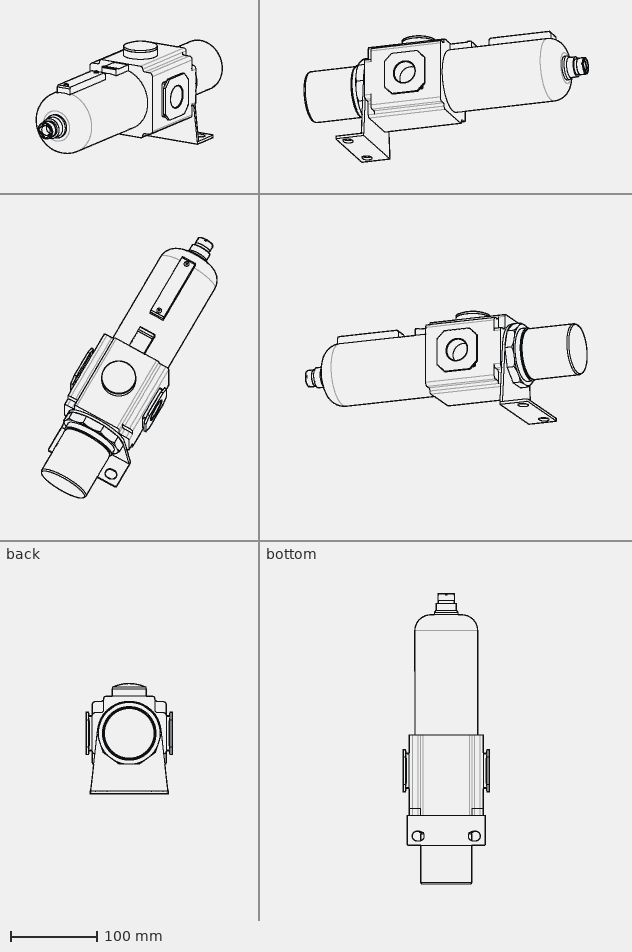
import cadquery as cq
import math


OVERALL_LENGTH = 336.5
OVERALL_HEIGHT = 128.0

BODY_HALF = 43.0
BODY_FRONT_Y = -41.7
BODY_BACK_Y = 51.7
STEP_WIDTH = 13.3
STEP_FILLET = 3.0
SHELF_Z = BODY_HALF - 2 * STEP_FILLET
CORNER_RADIUS = 4.0

NOTCH_DEPTH = 8.0
NOTCH_SHELF_Z = 24.0

BRACKET_THICKNESS = 3.2
BRACKET_BACK_Y = BODY_BACK_Y + BRACKET_THICKNESS
BRACKET_RADIUS = 37.0
FOOT_BOTTOM_Z = -70.2
FOOT_END_Y = 86.4
FOOT_HALF_WIDTH = 45.2
FOOT_CORNER_RADIUS = 1.5
SLOT_WIDTH = 11.0
SLOT_LENGTH = 13.8
SLOT_OUTER_X = 39.3
SLOT_Y = 75.6

KNOB_RADIUS = 29.8
KNOB_END_Y = 131.1
KNOB_CHAMFER = 2.0
GROOVE_DEPTH = 0.8
GROOVE_WIDTH = 1.6
GROOVE_BACK_Y = 73.0
COLLAR_RADIUS = 31.0
NUT_SIDES = 10
NUT_CORNER_RADIUS = 37.4
NUT_BACK_Y = 65.0
NUT_CHAMFER = 1.6

BOWL_RADIUS = 36.5
DOME_START_Y = -162.2
DOME_RADIUS = 18.5
DOME_END_Y = DOME_START_Y - DOME_RADIUS
DRAIN_END_Y = KNOB_END_Y - OVERALL_LENGTH
DRAIN_FLANGE_RADIUS = 13.8
DRAIN_FLANGE_END_Y = -183.4
DRAIN_BODY_RADIUS = 11.8
DRAIN_BODY_START_Y = -185.8
DRAIN_BODY_END_Y = -193.8
DRAIN_NECK_RADIUS = 9.3
DRAIN_TIP_RADIUS = 9.8
DRAIN_TIP_START_Y = -197.3
DRAIN_TIP_CHAMFER = 0.8
DRAIN_BORE_RADIUS = 5.8
DRAIN_BORE_DEPTH = 12.0
DRAIN_SQUARE_WIDTH = 14.0
DRAIN_SQUARE_DEPTH = 2.0

TAB_WIDTH = 19.6
TAB_TOP_Z = 42.2
TAB_END_Y = -68.0
TAB_LIP_LENGTH = 6.0
TAB_LIP_SLOPE = 2.0
TAB_LIP_CHAMFER = 0.7
TAB_LIP_HEIGHT = 0.9
COVER_WIDTH = 17.3
COVER_TOP_Z = 44.2
COVER_BACK_Y = -89.2
COVER_FRONT_Y = -165.6
COVER_END_CHAMFER = 1.9
SCREW_INSET = 6.0
SCREW_RADIUS = 2.8
SCREW_HEIGHT = 2.0
SCREW_SOCKET_RADIUS = 0.8
SCREW_SOCKET_DEPTH = 1.0

GAUGE_RADIUS = 19.8
GAUGE_RIM_Z = 51.2
GAUGE_BAND_TOP_Z = 53.5
GAUGE_BAND_INSET = 0.3
GAUGE_TOP_Z = FOOT_BOTTOM_Z + OVERALL_HEIGHT

PORT_FACE_X = 50.0
PORT_HALF = 24.5
PORT_CHAMFER = 8.8
PORT_RIM = 2.8
PORT_TAPER = 0.9
NECK_HALF = 20.7
NECK_CHAMFER = 1.4
PORT_BORE_RADIUS = 12.7
PORT_BORE_CHAMFER = 0.8
PORT_BORE_DEPTH = 20.0


def box(x_range, y_range, z_range):
    """Box between two limits on each axis."""
    sizes = [high - low for low, high in (x_range, y_range, z_range)]
    corner = (x_range[0], y_range[0], z_range[0])
    return cq.Workplane("XY").box(*sizes, centered=False).translate(corner)


def slab(profile, y_start, y_end):
    """Extrude a wire drawn as (X, Z) from y_start to y_end."""
    return profile.extrude(y_start - y_end).translate((0, y_start, 0))


def four_corners(shape):
    """The shape and its mirror images about the YZ and XY planes."""
    pair = shape.union(shape.mirror("YZ"))
    return pair.union(pair.mirror("XY"))


def make_corner_step(shelf_z, y_start, y_end):
    """Material cut from one corner of the block, as a bar along Y down to a shelf."""
    wall_x = BODY_HALF - STEP_WIDTH
    convex_x = wall_x - STEP_FILLET
    convex_z = BODY_HALF - STEP_FILLET
    concave_x = wall_x + STEP_FILLET
    concave_z = shelf_z + STEP_FILLET
    corner_x = BODY_HALF - CORNER_RADIUS
    corner_z = shelf_z - CORNER_RADIUS
    step_45 = STEP_FILLET * math.sqrt(0.5)
    corner_45 = CORNER_RADIUS * math.sqrt(0.5)
    outside = BODY_HALF + 1.0
    profile = (
        cq.Workplane("XZ")
        .moveTo(convex_x, BODY_HALF)
        .threePointArc((convex_x + step_45, convex_z + step_45), (wall_x, convex_z))
    )
    if concave_z < convex_z:
        profile = profile.lineTo(wall_x, concave_z)
    profile = (
        profile.threePointArc((concave_x - step_45, concave_z - step_45), (concave_x, shelf_z))
        .lineTo(corner_x, shelf_z)
        .threePointArc((corner_x + corner_45, corner_z + corner_45), (BODY_HALF, corner_z))
        .lineTo(outside, corner_z)
        .lineTo(outside, outside)
        .lineTo(convex_x, outside)
        .close()
    )
    return slab(profile, y_start, y_end)


def make_body():
    span = (-BODY_HALF, BODY_HALF)
    block = box(span, (BODY_FRONT_Y, BODY_BACK_Y), span)
    step = make_corner_step(SHELF_Z, BODY_FRONT_Y, BODY_BACK_Y)
    notch = make_corner_step(NOTCH_SHELF_Z, BODY_BACK_Y - NOTCH_DEPTH, BODY_BACK_Y)
    return block.cut(four_corners(step)).cut(four_corners(notch))


def make_knob():
    """Knob and collar, turned about Y."""
    groove_front_y = GROOVE_BACK_Y - GROOVE_WIDTH
    return (
        cq.Workplane("XY")
        .moveTo(0, BODY_BACK_Y)
        .lineTo(COLLAR_RADIUS, BODY_BACK_Y)
        .lineTo(COLLAR_RADIUS, groove_front_y)
        .lineTo(KNOB_RADIUS - GROOVE_DEPTH, groove_front_y)
        .lineTo(KNOB_RADIUS - GROOVE_DEPTH, GROOVE_BACK_Y)
        .lineTo(KNOB_RADIUS, GROOVE_BACK_Y)
        .lineTo(KNOB_RADIUS, KNOB_END_Y - KNOB_CHAMFER)
        .lineTo(KNOB_RADIUS - KNOB_CHAMFER / 2, KNOB_END_Y)
        .lineTo(0, KNOB_END_Y)
        .close()
        .revolve(360, (0, 0, 0), (0, 1, 0))
    )


def make_nut():
    """Ten-sided nut whose back corners are turned off."""
    profile = cq.Workplane("XZ").polygon(NUT_SIDES, 2 * NUT_CORNER_RADIUS)
    nut = slab(profile, BRACKET_BACK_Y, NUT_BACK_Y)
    turned = slab(cq.Workplane("XZ").circle(NUT_CORNER_RADIUS), BRACKET_BACK_Y, NUT_BACK_Y)
    return nut.intersect(turned.faces(">Y").chamfer(NUT_CHAMFER))


def make_bracket():
    """Upright plate with a round head and tangent sides, and a slotted foot."""
    base_distance = math.hypot(FOOT_HALF_WIDTH, FOOT_BOTTOM_Z)
    base_angle = math.atan2(FOOT_BOTTOM_Z, FOOT_HALF_WIDTH)
    tangent_angle = base_angle + math.acos(BRACKET_RADIUS / base_distance)
    tangent_x = BRACKET_RADIUS * math.cos(tangent_angle)
    tangent_z = BRACKET_RADIUS * math.sin(tangent_angle)
    profile = (
        cq.Workplane("XZ")
        .moveTo(-FOOT_HALF_WIDTH, FOOT_BOTTOM_Z)
        .lineTo(FOOT_HALF_WIDTH, FOOT_BOTTOM_Z)
        .lineTo(tangent_x, tangent_z)
        .threePointArc((0, BRACKET_RADIUS), (-tangent_x, tangent_z))
        .close()
    )
    plate = slab(profile, BODY_BACK_Y, BRACKET_BACK_Y)

    foot = box(
        (-FOOT_HALF_WIDTH, FOOT_HALF_WIDTH),
        (BODY_BACK_Y, FOOT_END_Y),
        (FOOT_BOTTOM_Z, FOOT_BOTTOM_Z + BRACKET_THICKNESS),
    )
    foot = foot.edges("|Z and >Y").fillet(FOOT_CORNER_RADIUS)
    slot_x = SLOT_OUTER_X - SLOT_LENGTH / 2
    slots = (
        cq.Workplane("XY", origin=(0, 0, FOOT_BOTTOM_Z))
        .pushPoints([(-slot_x, SLOT_Y), (slot_x, SLOT_Y)])
        .slot2D(SLOT_LENGTH, SLOT_WIDTH)
        .extrude(BRACKET_THICKNESS)
    )
    return plate.union(foot.cut(slots))


def make_bowl():
    """Bowl with a rounded end and a drain fitting with a square recess in its end."""
    dome_flat_radius = BOWL_RADIUS - DOME_RADIUS
    dome_45 = DOME_RADIUS * math.sqrt(0.5)
    bowl = (
        cq.Workplane("XY")
        .moveTo(0, BODY_FRONT_Y)
        .lineTo(BOWL_RADIUS, BODY_FRONT_Y)
        .lineTo(BOWL_RADIUS, DOME_START_Y)
        .threePointArc((dome_flat_radius + dome_45, DOME_START_Y - dome_45), (dome_flat_radius, DOME_END_Y))
        .lineTo(DRAIN_FLANGE_RADIUS, DOME_END_Y)
        .lineTo(DRAIN_FLANGE_RADIUS, DRAIN_FLANGE_END_Y)
        .lineTo(DRAIN_BODY_RADIUS, DRAIN_BODY_START_Y)
        .lineTo(DRAIN_BODY_RADIUS, DRAIN_BODY_END_Y)
        .lineTo(DRAIN_NECK_RADIUS, DRAIN_BODY_END_Y)
        .lineTo(DRAIN_NECK_RADIUS, DRAIN_TIP_START_Y)
        .lineTo(DRAIN_TIP_RADIUS, DRAIN_TIP_START_Y)
        .lineTo(DRAIN_TIP_RADIUS, DRAIN_END_Y + DRAIN_TIP_CHAMFER)
        .lineTo(DRAIN_TIP_RADIUS - DRAIN_TIP_CHAMFER, DRAIN_END_Y)
        .lineTo(0, DRAIN_END_Y)
        .close()
        .revolve(360, (0, 0, 0), (0, 1, 0))
    )
    bore = slab(cq.Workplane("XZ").circle(DRAIN_BORE_RADIUS), DRAIN_END_Y, DRAIN_END_Y + DRAIN_BORE_DEPTH)
    square = cq.Workplane("XZ").polygon(4, DRAIN_SQUARE_WIDTH * math.sqrt(2))
    recess = slab(square, DRAIN_END_Y, DRAIN_END_Y + DRAIN_SQUARE_DEPTH)
    return bowl.cut(bore).cut(recess)


def make_lock_tab():
    """Flat tab with a raised lip at its end, sloped on both sides."""
    lip_top_z = TAB_TOP_Z + TAB_LIP_HEIGHT
    lip_start_y = TAB_END_Y + TAB_LIP_LENGTH
    profile = (
        cq.Workplane("YZ", origin=(-TAB_WIDTH / 2, 0, 0))
        .moveTo(BODY_FRONT_Y, 0)
        .lineTo(BODY_FRONT_Y, TAB_TOP_Z)
        .lineTo(lip_start_y, TAB_TOP_Z)
        .lineTo(lip_start_y - TAB_LIP_SLOPE, lip_top_z)
        .lineTo(TAB_END_Y + TAB_LIP_CHAMFER, lip_top_z)
        .lineTo(TAB_END_Y, lip_top_z - TAB_LIP_CHAMFER)
        .lineTo(TAB_END_Y, 0)
        .close()
    )
    return profile.extrude(TAB_WIDTH)


def make_level_cover():
    """Long cover with chamfered ends, held by two round-head screws."""
    half = COVER_WIDTH / 2
    cover = box((-half, half), (COVER_FRONT_Y, COVER_BACK_Y), (0, COVER_TOP_Z))
    cover = cover.edges("|X and >Z").chamfer(COVER_END_CHAMFER)
    dome_radius = (SCREW_RADIUS**2 + SCREW_HEIGHT**2) / (2 * SCREW_HEIGHT)
    for screw_y in (COVER_FRONT_Y + SCREW_INSET, COVER_BACK_Y - SCREW_INSET):
        plane = cq.Workplane("XY", origin=(0, screw_y, COVER_TOP_Z))
        head = plane.sphere(dome_radius).translate((0, 0, SCREW_HEIGHT - dome_radius))
        head = head.intersect(plane.circle(SCREW_RADIUS).extrude(SCREW_HEIGHT))
        socket = plane.workplane(offset=SCREW_HEIGHT).circle(SCREW_SOCKET_RADIUS).extrude(-SCREW_SOCKET_DEPTH)
        cover = cover.union(head).cut(socket)
    return cover


def make_gauge():
    """Round gauge with a domed lens, turned about Z."""
    lens_radius = GAUGE_RADIUS - GAUGE_BAND_INSET
    lens_rise = GAUGE_TOP_Z - GAUGE_BAND_TOP_Z
    sphere_radius = (lens_radius**2 + lens_rise**2) / (2 * lens_rise)
    mid_x = lens_radius / 2
    mid_z = GAUGE_TOP_Z - sphere_radius + math.sqrt(sphere_radius**2 - mid_x**2)
    return (
        cq.Workplane("XZ")
        .moveTo(0, 0)
        .lineTo(GAUGE_RADIUS, 0)
        .lineTo(GAUGE_RADIUS, GAUGE_RIM_Z)
        .lineTo(lens_radius, GAUGE_RIM_Z)
        .lineTo(lens_radius, GAUGE_BAND_TOP_Z)
        .threePointArc((mid_x, mid_z), (0, GAUGE_TOP_Z))
        .close()
        .revolve(360, (0, 0, 0), (0, 1, 0))
    )


def octagon(x, half, chamfer):
    """Square with cut corners in a plane of constant X."""
    flat = half - chamfer
    points = [(half, flat), (flat, half), (-flat, half), (-half, flat)]
    opposite = [(-y, -z) for y, z in points]
    return cq.Workplane("YZ", origin=(x, 0, 0)).polyline(points + opposite).close()


def make_port():
    """Port on the +X side: flange with a tapered back, on a short neck."""
    rim_x = PORT_FACE_X - PORT_RIM
    taper_angle = math.degrees(math.atan2(PORT_HALF - NECK_HALF, PORT_TAPER))
    rim = octagon(rim_x, PORT_HALF, PORT_CHAMFER).extrude(PORT_RIM)
    taper = octagon(rim_x, PORT_HALF, PORT_CHAMFER).extrude(-PORT_TAPER, taper=taper_angle)
    neck = octagon(0, NECK_HALF, NECK_CHAMFER).extrude(rim_x)
    return rim.union(taper).union(neck)


def make_port_bore():
    """Blind bore on the +X side with a chamfered mouth."""
    plane = cq.Workplane("YZ", origin=(PORT_FACE_X, 0, 0))
    bore = plane.circle(PORT_BORE_RADIUS).extrude(-PORT_BORE_DEPTH)
    mouth_radius = PORT_BORE_RADIUS + PORT_BORE_CHAMFER
    mouth = plane.circle(mouth_radius).extrude(-PORT_BORE_CHAMFER, taper=45)
    return bore.union(mouth)


port = make_port()
port_bore = make_port_bore()

result = (
    make_body()
    .union(make_knob())
    .union(make_nut())
    .union(make_bracket())
    .union(make_bowl())
    .union(make_lock_tab())
    .union(make_level_cover())
    .union(make_gauge())
    .union(port)
    .union(port.mirror("YZ"))
    .cut(port_bore)
    .cut(port_bore.mirror("YZ"))
)